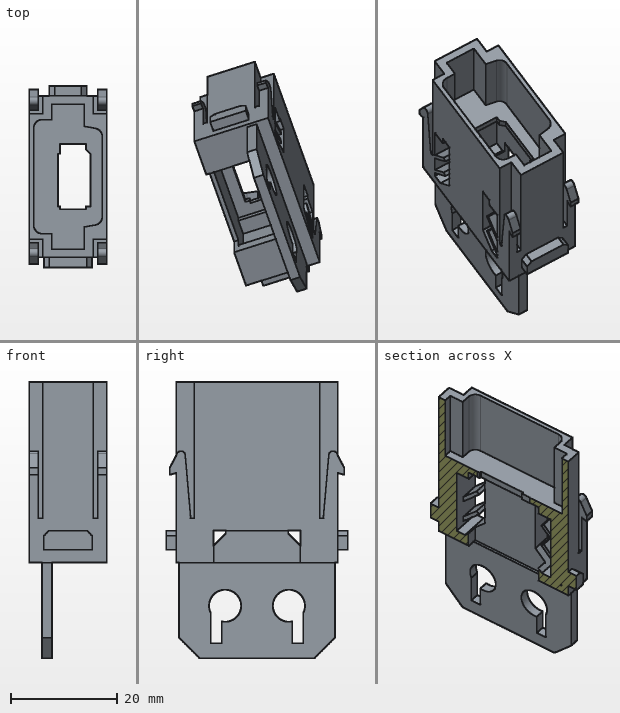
import cadquery as cq
import math

WIDTH = 14.65
LENGTH = 30.4
PART_HEIGHT = 52.0
HOUSING_BOTTOM = 18.0
HALF_WIDTH = WIDTH / 2
HALF_LENGTH = LENGTH / 2

RELIEF_HALF_WIDTH = 4.72
RELIEF_HALF_LENGTH = 11.8
RELIEF_BOTTOM = 26.4

LATCH_INNER_X = 5.57
LATCH_ROOT_Y = 12.47
LATCH_TOP = 39.0
LATCH_TIP_RADIUS = 0.8
LATCH_TIP_Y = 14.3
LATCH_INNER_LEAN = math.radians(5)
LATCH_RAMP_LEAN = math.radians(27.5)
BARB_Y = 16.43
BARB_SHOULDER = 35.85
BARB_BOTTOM = 34.5
BARB_ROOT = 34.85

CAVITY_FLOOR = 38.0
CAVITY_HALF_WIDTH = 6.45
CAVITY_SLOT_HALF_WIDTH = 3.02
CAVITY_SLOT_HALF_LENGTH = 13.65
CAVITY_SQUARE_SHOULDER_Y = 10.73
CAVITY_SLOPED_SHOULDER_Y = 9.47
CAVITY_SHOULDER_SLOPE = math.radians(10)
CAVITY_FILLET = 1.6

OPENING_LEFT = -1.84
OPENING_RIGHT = 4.2
OPENING_END_LEFT = -1.46
OPENING_END_RIGHT = 3.35
OPENING_HALF_LENGTH = 6.1
OPENING_BACK_Y = 4.29
OPENING_FRONT_Y = -5.58
OPENING_CHAMFER = OPENING_RIGHT - OPENING_END_RIGHT

WINDOW_INNER_Y = 5.91
WINDOW_STEP_Y = 8.17
WINDOW_OUTER_Y = 10.95
WINDOW_BOTTOM = 20.4
WINDOW_STEP_TOP = 35.0
WINDOW_TOP = 36.56
WINDOW_CHAMFER = 3.1
CHAMBER_LEFT = -3.54
CHAMBER_RIGHT = CAVITY_HALF_WIDTH
NOTCH_TOP = 24.05

FIN_THICKNESS = 0.8
FIN_REACH = 3.66
FIN_ROOT_BOTTOM = 21.33
FIN_PITCH = 5.0
FIN_COUNT = 2

KEY_PROJECTION = 1.9
KEY_BOTTOM = WINDOW_BOTTOM
KEY_TOP = NOTCH_TOP
KEY_CHAMFER = 1.0
FRONT_KEY_HALF_WIDTH = 4.55
BACK_KEY_HALF_WIDTH = 3.53

PLATE_LEFT = -4.9
PLATE_RIGHT = -3.0
PLATE_HALF_LENGTH = 14.7
PLATE_CHAMFER = 3.93
KEYHOLE_Y = 6.0
KEYHOLE_Z = 9.9
KEYHOLE_DIAMETER = 6.0
KEYHOLE_SLOT_INNER_Y = 6.63
KEYHOLE_SLOT_OUTER_Y = 8.69
KEYHOLE_SLOT_BOTTOM = 2.86


def block(x_range, y_range, z_range):
    """Box spanning the given (low, high) ranges."""
    ranges = (x_range, y_range, z_range)
    size = [high - low for low, high in ranges]
    corner = tuple(low for low, high in ranges)
    return cq.Workplane("XY").box(*size, centered=False).translate(corner)


def side_plane(x):
    """Sketch plane facing +X at x, with local axes (Y, Z)."""
    return cq.Workplane("YZ", origin=(x, 0, 0))


def both_ends(body):
    """Body together with its mirror image across Y = 0."""
    return body.union(body.mirror("XZ"))


def make_housing():
    housing = block(
        (-HALF_WIDTH, HALF_WIDTH), (-HALF_LENGTH, HALF_LENGTH), (HOUSING_BOTTOM, PART_HEIGHT)
    )
    relief = block(
        (RELIEF_HALF_WIDTH, HALF_WIDTH), (RELIEF_HALF_LENGTH, HALF_LENGTH), (RELIEF_BOTTOM, PART_HEIGHT)
    )
    reliefs = both_ends(relief.union(relief.mirror("YZ")))
    return housing.cut(reliefs)


def make_latches():
    tip_z = LATCH_TOP - LATCH_TIP_RADIUS

    def tip_point(angle):
        return (
            LATCH_TIP_Y + LATCH_TIP_RADIUS * math.cos(angle),
            tip_z + LATCH_TIP_RADIUS * math.sin(angle),
        )

    latch = (
        side_plane(LATCH_INNER_X)
        .moveTo(LATCH_ROOT_Y, RELIEF_BOTTOM)
        .lineTo(*tip_point(math.pi - LATCH_INNER_LEAN))
        .threePointArc(tip_point(math.pi / 2), tip_point(LATCH_RAMP_LEAN))
        .lineTo(BARB_Y, BARB_SHOULDER)
        .lineTo(BARB_Y, BARB_BOTTOM)
        .lineTo(HALF_LENGTH, BARB_ROOT)
        .lineTo(HALF_LENGTH, RELIEF_BOTTOM)
        .close()
        .extrude(HALF_WIDTH - LATCH_INNER_X)
    )
    return both_ends(latch.union(latch.mirror("YZ")))


def make_cavity():
    slope_drop = (CAVITY_HALF_WIDTH - CAVITY_SLOT_HALF_WIDTH) * math.tan(CAVITY_SHOULDER_SLOPE)
    sloped_corner_y = CAVITY_SLOPED_SHOULDER_Y - slope_drop
    back_half = [
        (-CAVITY_HALF_WIDTH, CAVITY_SQUARE_SHOULDER_Y),
        (-CAVITY_SLOT_HALF_WIDTH, CAVITY_SQUARE_SHOULDER_Y),
        (-CAVITY_SLOT_HALF_WIDTH, CAVITY_SLOT_HALF_LENGTH),
        (CAVITY_SLOT_HALF_WIDTH, CAVITY_SLOT_HALF_LENGTH),
        (CAVITY_SLOT_HALF_WIDTH, CAVITY_SLOPED_SHOULDER_Y),
        (CAVITY_HALF_WIDTH, sloped_corner_y),
    ]
    front_half = [(x, -y) for x, y in reversed(back_half)]
    cavity = (
        cq.Workplane("XY", origin=(0, 0, CAVITY_FLOOR))
        .polyline(back_half + front_half)
        .close()
        .extrude(PART_HEIGHT - CAVITY_FLOOR)
    )
    side_corners = cavity.edges("|Z and <X").add(cavity.edges("|Z and >X"))
    return side_corners.fillet(CAVITY_FILLET)


def make_floor_opening():
    outline = [
        (OPENING_END_LEFT, OPENING_HALF_LENGTH),
        (OPENING_END_RIGHT, OPENING_HALF_LENGTH),
        (OPENING_END_RIGHT, OPENING_BACK_Y + OPENING_CHAMFER),
        (OPENING_RIGHT, OPENING_BACK_Y),
        (OPENING_RIGHT, OPENING_FRONT_Y),
        (OPENING_END_RIGHT, OPENING_FRONT_Y),
        (OPENING_END_RIGHT, -OPENING_HALF_LENGTH),
        (OPENING_END_LEFT, -OPENING_HALF_LENGTH),
        (OPENING_END_LEFT, OPENING_FRONT_Y),
        (OPENING_LEFT, OPENING_FRONT_Y),
        (OPENING_LEFT, OPENING_BACK_Y),
        (OPENING_END_LEFT, OPENING_BACK_Y),
    ]
    return (
        cq.Workplane("XY", origin=(0, 0, HOUSING_BOTTOM))
        .polyline(outline)
        .close()
        .extrude(CAVITY_FLOOR - HOUSING_BOTTOM)
    )


def make_windows():
    outline = [
        (WINDOW_INNER_Y, WINDOW_TOP),
        (WINDOW_STEP_Y, WINDOW_TOP),
        (WINDOW_STEP_Y, WINDOW_STEP_TOP),
        (WINDOW_OUTER_Y, WINDOW_STEP_TOP),
        (WINDOW_OUTER_Y, WINDOW_BOTTOM),
        (WINDOW_INNER_Y + WINDOW_CHAMFER, WINDOW_BOTTOM),
        (WINDOW_INNER_Y, WINDOW_BOTTOM + WINDOW_CHAMFER),
    ]
    window = side_plane(-HALF_WIDTH).polyline(outline).close().extrude(HALF_WIDTH + CHAMBER_RIGHT)
    return both_ends(window)


def make_chamber():
    chamber = block(
        (CHAMBER_LEFT, CHAMBER_RIGHT), (-WINDOW_INNER_Y, WINDOW_INNER_Y), (WINDOW_BOTTOM, WINDOW_TOP)
    )
    notch = block(
        (CHAMBER_LEFT, HALF_WIDTH), (-WINDOW_STEP_Y, WINDOW_STEP_Y), (HOUSING_BOTTOM, NOTCH_TOP)
    )
    return chamber.union(notch)


def make_fins():
    rise = FIN_THICKNESS * math.sqrt(2)
    half_rise = rise / 2
    fins = cq.Workplane("XY")
    for index in range(FIN_COUNT):
        root_z = FIN_ROOT_BOTTOM + index * FIN_PITCH
        outline = [
            (WINDOW_OUTER_Y, root_z),
            (WINDOW_OUTER_Y - FIN_REACH, root_z + FIN_REACH),
            (WINDOW_OUTER_Y - FIN_REACH + half_rise, root_z + FIN_REACH + half_rise),
            (WINDOW_OUTER_Y, root_z + rise),
        ]
        fin = side_plane(-HALF_WIDTH).polyline(outline).close().extrude(HALF_WIDTH + CHAMBER_LEFT)
        fins = fins.union(fin)
    return both_ends(fins)


def make_key(half_width):
    """Key on the -Y end wall, with its two upper corners chamfered."""
    key = block(
        (-half_width, half_width), (-HALF_LENGTH - KEY_PROJECTION, -HALF_LENGTH), (KEY_BOTTOM, KEY_TOP)
    )
    return key.faces(">Z").edges("|Y").chamfer(KEY_CHAMFER)


def make_plate():
    plate = block(
        (PLATE_LEFT, PLATE_RIGHT), (-PLATE_HALF_LENGTH, PLATE_HALF_LENGTH), (0, HOUSING_BOTTOM)
    )
    plate = plate.faces("<Z").edges("|X").chamfer(PLATE_CHAMFER)
    thickness = PLATE_RIGHT - PLATE_LEFT
    hole = (
        side_plane(PLATE_LEFT)
        .center(KEYHOLE_Y, KEYHOLE_Z)
        .circle(KEYHOLE_DIAMETER / 2)
        .extrude(thickness)
    )
    slot = block(
        (PLATE_LEFT, PLATE_RIGHT),
        (KEYHOLE_SLOT_INNER_Y, KEYHOLE_SLOT_OUTER_Y),
        (KEYHOLE_SLOT_BOTTOM, KEYHOLE_Z),
    )
    return plate.cut(both_ends(hole.union(slot)))


housing = make_housing().union(make_latches())
housing = housing.cut(make_cavity()).cut(make_floor_opening())
housing = housing.cut(make_windows()).cut(make_chamber())
housing = housing.union(make_fins())

front_key = make_key(FRONT_KEY_HALF_WIDTH)
back_key = make_key(BACK_KEY_HALF_WIDTH).mirror("XZ")

result = housing.union(front_key).union(back_key).union(make_plate())